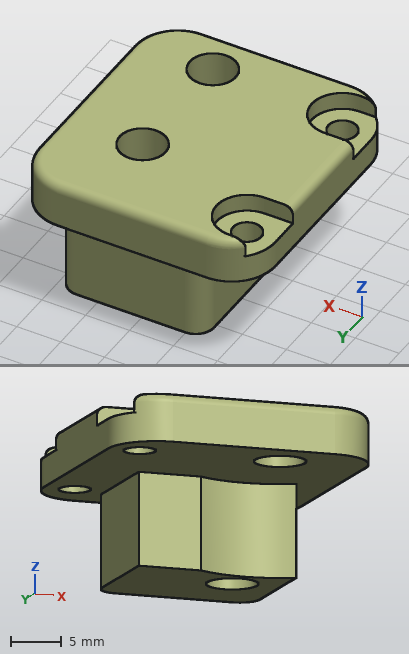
import cadquery as cq
import math

plate_length = 27.0
plate_width = 29
plate_thickness = 5.0
corner_radius = 5.0
top_edge_radius = 1.0

total_height = 14.5
block_left = 6.47
block_front = 14.2
block_back = 27.05
block_corner_radius = 2.1
relief_half_width = 5.02

edge_inset = 5.0
large_hole_diameter = 5.2
large_hole_x = 18.0
large_hole_spacing = 14.0
screw_hole_diameter = 3.2
screw_hole_x = 3.25
pocket_radius = 3.48
pocket_depth = 1.97

block_height = total_height - plate_thickness
block_right = large_hole_x + relief_half_width
relief_radius = math.hypot(relief_half_width, block_front - edge_inset)

large_hole_points = [(large_hole_x, edge_inset), (large_hole_x, edge_inset + large_hole_spacing)]
screw_hole_points = [(screw_hole_x, edge_inset), (screw_hole_x, plate_width - edge_inset)]


def make_plate():
    """Plate with round corners and a rounded top edge; its top is at full height."""
    plate = cq.Workplane("XY").workplane(offset=block_height)
    plate = plate.rect(plate_length, plate_width, centered=False).extrude(plate_thickness)
    return plate.edges("|Z").fillet(corner_radius).faces(">Z").edges().fillet(top_edge_radius)


def make_block():
    """Block with a concave arc along its front side and rounded back corners."""
    outline = (
        cq.Workplane("XY")
        .moveTo(block_left, block_front)
        .lineTo(large_hole_x - relief_half_width, block_front)
        .threePointArc((large_hole_x, edge_inset + relief_radius), (block_right, block_front))
        .lineTo(block_right, block_back)
        .lineTo(block_left, block_back)
        .close()
    )
    block = outline.extrude(block_height)
    return block.edges("|Z and >Y").fillet(block_corner_radius)


def make_screw_pocket(center):
    """Round-ended pocket around a screw hole, open at the -X edge of the plate."""
    x, y = center
    floor = cq.Workplane("XY").workplane(offset=total_height - pocket_depth)
    round_end = floor.center(x, y).circle(pocket_radius).extrude(pocket_depth)
    channel = floor.center(0, y - pocket_radius).rect(x, 2 * pocket_radius, centered=False)
    return round_end.union(channel.extrude(pocket_depth))


def make_holes(points, diameter):
    """Straight holes through the full height."""
    return cq.Workplane("XY").pushPoints(points).circle(diameter / 2).extrude(total_height)


result = make_plate().union(make_block())
for screw_hole_point in screw_hole_points:
    result = result.cut(make_screw_pocket(screw_hole_point))
result = result.cut(make_holes(large_hole_points, large_hole_diameter))
result = result.cut(make_holes(screw_hole_points, screw_hole_diameter))